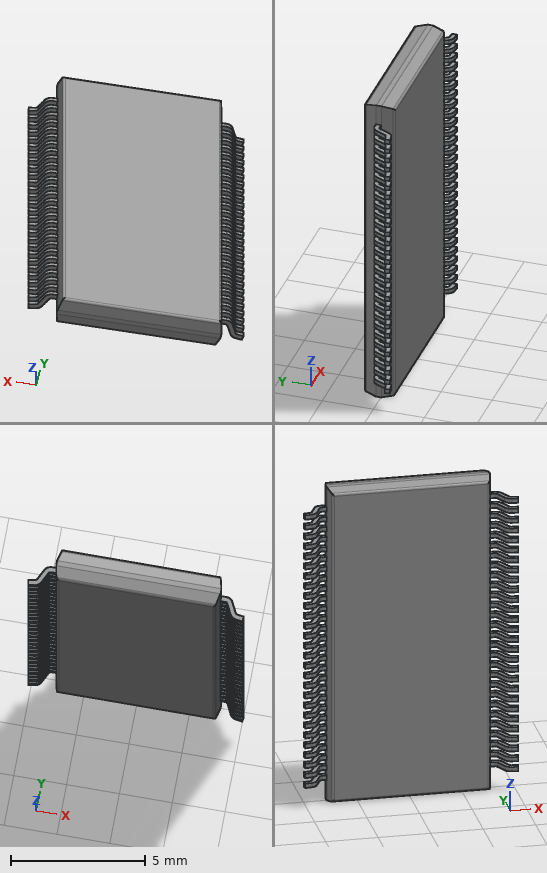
import cadquery as cq
import math

body_width = 6.22
body_length = 12.6
body_depth = 1.2
draft_angle = 13.0
edge_radius = 0.1

lead_span = 8.16
lead_thickness = 0.2
lead_width = 0.18
lead_row_length = 10.79
leads_per_side = 28
overall_depth = 1.35
leg_angle = 64.0
foot_angle = 8.0
inner_bend_radius = 0.1
foot_length = 0.25
lead_embed = 0.13

lead_pitch = lead_row_length / (leads_per_side - 1)
mould_band = lead_thickness
shell_depth = (body_depth - mould_band) / 2
band_back_y = -shell_depth
band_front_y = band_back_y - mould_band


def half_shell(band_y, direction):
    """One tapered half of the body, rising from the mould band along Y by direction."""
    shell = (
        cq.Workplane("XZ", origin=(0, band_y, 0))
        .rect(body_width, body_length)
        .extrude(-direction * shell_depth, taper=draft_angle)
    )
    outer_face = ">Y" if direction > 0 else "<Y"
    return shell.faces(outer_face).edges().fillet(edge_radius)


def make_body():
    """Straight-sided mould band between two tapered halves with rounded rims."""
    band = cq.Workplane("XZ", origin=(0, band_back_y, 0)).rect(body_width, body_length).extrude(mould_band)
    return band.union(half_shell(band_back_y, 1)).union(half_shell(band_front_y, -1))


def make_lead():
    """Right-hand lead, centred on Z = 0: shoulder, sloping leg and slightly tilted foot."""
    leg = math.radians(leg_angle)
    foot = math.radians(foot_angle)
    small = inner_bend_radius
    large = inner_bend_radius + lead_thickness

    toe_x = lead_span / 2
    heel_centre_x = toe_x + small * math.sin(foot) - foot_length * math.cos(foot)
    heel_centre_y = -overall_depth + large * math.cos(foot) + foot_length * math.sin(foot)
    shoulder_centre_y = band_front_y - small
    leg_drop = shoulder_centre_y - heel_centre_y + (small + large) * math.cos(leg)
    leg_run = leg_drop / math.tan(leg)
    shoulder_centre_x = heel_centre_x - leg_run - (small + large) * math.sin(leg)

    def on_shoulder(radius, angle):
        return (
            shoulder_centre_x + radius * math.sin(angle),
            shoulder_centre_y + radius * math.cos(angle),
        )

    def on_heel(radius, angle):
        return (
            heel_centre_x - radius * math.sin(angle),
            heel_centre_y - radius * math.cos(angle),
        )

    def along_foot(point):
        return (point[0] + foot_length * math.cos(foot), point[1] - foot_length * math.sin(foot))

    root_x = body_width / 2 - lead_embed
    mid_heel = (leg + foot) / 2
    profile = (
        cq.Workplane("XY", origin=(0, 0, -lead_width / 2))
        .moveTo(root_x, band_back_y)
        .lineTo(*on_shoulder(large, 0))
        .threePointArc(on_shoulder(large, leg / 2), on_shoulder(large, leg))
        .lineTo(*on_heel(small, leg))
        .threePointArc(on_heel(small, mid_heel), on_heel(small, foot))
        .lineTo(*along_foot(on_heel(small, foot)))
        .lineTo(*along_foot(on_heel(large, foot)))
        .lineTo(*on_heel(large, foot))
        .threePointArc(on_heel(large, mid_heel), on_heel(large, leg))
        .lineTo(*on_shoulder(small, leg))
        .threePointArc(on_shoulder(small, leg / 2), on_shoulder(small, 0))
        .lineTo(root_x, band_front_y)
        .close()
    )
    return profile.extrude(lead_width)


def make_lead_rows():
    """Two mirrored rows of leads, evenly spaced along Z."""
    right_lead = make_lead()
    left_lead = right_lead.mirror("YZ")
    leads = []
    for index in range(leads_per_side):
        lead_z = index * lead_pitch - lead_row_length / 2
        for lead in (right_lead, left_lead):
            leads.append(lead.translate((0, 0, lead_z)).val())
    return cq.Workplane("XY").newObject(leads)


result = make_body().union(make_lead_rows())